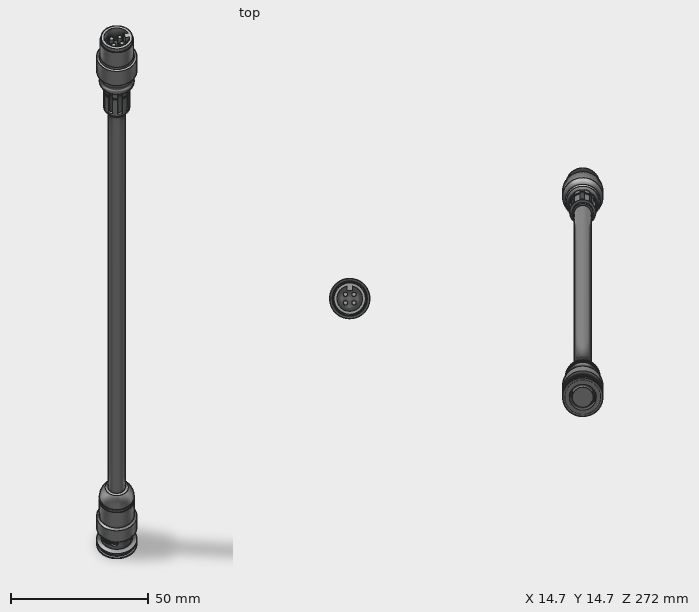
import cadquery as cq
import math

TOTAL_LENGTH = 272.0
RING_DIAMETER = 14.7
BODY_DIAMETER = 12.8
CABLE_DIAMETER = 6.3

FLANGE_HEIGHT = 3.3
FLANGE_BASE_THICKNESS = 0.4
FLANGE_RIM_BOTTOM = 2.05
FLANGE_RIM_TOP = 2.7
FLANGE_WAIST_DIAMETER = 13.0
SHELL_DIAMETER = 11.5
SHELL_BORE_DIAMETER = 9.8
SHELL_CORE_DIAMETER = 7.5
SHELL_BORE_DEPTH = 8.7

SLOT_COUNT = 2
SLOT_WIDTH = 1.98
LATCH_HOLE_DIAMETER = 3.3
SLOT_START_ANGLE = -125.0
SLOT_SWEEP_ANGLE = 99.0
SLOT_START_HEIGHT = 5.0
LATCH_HEIGHT = 6.5
SLOT_STEPS = 18

LOWER_RING_BOTTOM = 9.0
LOWER_RING_TOP = 15.5
LOWER_RING_BEVEL = 0.5
SEAM_BOTTOM = 23.7
SEAM_TOP = 25.0
SEAM_DEPTH = 0.3
BOOT_BOTTOM = 25.3
BOOT_TOP = 30.5
BOOT_TOP_DIAMETER = 8.5

INDEX_HEIGHT = 2.2
INDEX_ANGLE = -117.0
INDEX_HALF_ANGLE = 29.0

SLEEVE_BOTTOM = 233.0
SLEEVE_NECK_TOP = 234.7
SLEEVE_TOP = 247.5
SLEEVE_NECK_DIAMETER = 7.5
SLEEVE_DIAMETER = 9.5
FLUTE_COUNT = 8
FLUTE_WIDTH = 1.5
FLUTE_DEPTH = 0.8
FLUTE_BOTTOM = 235.7
SLEEVE_BAND_HEIGHT = 243.4
SLEEVE_BAND_WIDTH = 0.5
SLEEVE_BAND_DEPTH = 0.3

BEAD_BOTTOM = 247.7
BEAD_TOP = 249.5
BEAD_DEPTH = 0.4
WAIST_HEIGHT = 250.7
WAIST_DIAMETER = 11.5
UPPER_RING_BOTTOM = 254.0
UPPER_RING_TOP = 261.5
UPPER_BODY_BOTTOM = 262.5
UPPER_BODY_TOP = 270.3
UPPER_BODY_DIAMETER = 12.2
LIP_DIAMETER = 11.5

SOCKET_DIAMETER = 9.2
SOCKET_DEPTH = 6.8
KEY_WIDTH = 2.05
KEY_INNER_DISTANCE = 3.0
PIN_COUNT = 4
PIN_DIAMETER = 1.52
PIN_LENGTH = 5.0
PIN_CIRCLE_DIAMETER = 4.4


def cylinder(diameter, bottom, top):
    return cq.Workplane("XY").workplane(offset=bottom).circle(diameter / 2).extrude(top - bottom)


def tube(outer_diameter, inner_diameter, bottom, top):
    return cylinder(outer_diameter, bottom, top).cut(cylinder(inner_diameter, bottom, top))


def turned_body():
    """Both connectors and the cable as one turned profile."""
    ring = RING_DIAMETER / 2
    body = BODY_DIAMETER / 2
    cable = CABLE_DIAMETER / 2
    shell = SHELL_DIAMETER / 2
    boot_top = BOOT_TOP_DIAMETER / 2
    neck = SLEEVE_NECK_DIAMETER / 2
    sleeve = SLEEVE_DIAMETER / 2
    lip = LIP_DIAMETER / 2
    flange_waist = FLANGE_WAIST_DIAMETER / 2
    waist = WAIST_DIAMETER / 2
    upper_body = UPPER_BODY_DIAMETER / 2
    bead_root = body - BEAD_DEPTH
    bead_middle = 0.5 * (BEAD_BOTTOM + BEAD_TOP)
    return (
        cq.Workplane("XZ")
        .lineTo(ring, 0)
        .lineTo(ring, FLANGE_BASE_THICKNESS)
        .lineTo(flange_waist, FLANGE_BASE_THICKNESS)
        .lineTo(flange_waist, FLANGE_RIM_BOTTOM)
        .lineTo(ring, FLANGE_RIM_BOTTOM)
        .lineTo(ring, FLANGE_RIM_TOP)
        .lineTo(shell, FLANGE_HEIGHT)
        .lineTo(shell, LOWER_RING_BOTTOM)
        .lineTo(ring, LOWER_RING_BOTTOM)
        .lineTo(ring, LOWER_RING_TOP - LOWER_RING_BEVEL)
        .lineTo(body, LOWER_RING_TOP)
        .lineTo(body, BOOT_BOTTOM)
        .tangentArcPoint((boot_top, BOOT_TOP), relative=False)
        .lineTo(cable, BOOT_TOP)
        .lineTo(cable, SLEEVE_BOTTOM)
        .lineTo(neck, SLEEVE_BOTTOM)
        .lineTo(neck, SLEEVE_NECK_TOP)
        .lineTo(sleeve, SLEEVE_NECK_TOP)
        .lineTo(sleeve, SLEEVE_TOP)
        .lineTo(bead_root, BEAD_BOTTOM)
        .threePointArc((body, bead_middle), (bead_root, BEAD_TOP))
        .tangentArcPoint((waist, WAIST_HEIGHT), relative=False)
        .lineTo(ring, UPPER_RING_BOTTOM)
        .lineTo(ring, UPPER_RING_TOP)
        .lineTo(body, UPPER_RING_TOP)
        .lineTo(upper_body, UPPER_BODY_BOTTOM)
        .lineTo(upper_body, UPPER_BODY_TOP)
        .lineTo(lip, UPPER_BODY_TOP)
        .lineTo(lip, TOTAL_LENGTH)
        .lineTo(0, TOTAL_LENGTH)
        .close()
        .revolve(360, (0, 0), (0, 1))
    )


def radial_drill(diameter, angle, height):
    """Round cutter from the core outward, pointing away from the axis."""
    inner = SHELL_CORE_DIAMETER / 2
    length = RING_DIAMETER / 2 - inner
    outward = cq.Vector(math.cos(math.radians(angle)), math.sin(math.radians(angle)), 0)
    start = outward * inner + cq.Vector(0, 0, height)
    return cq.Workplane(cq.Solid.makeCylinder(diameter / 2, length, start, outward))


def bayonet_slot(turn):
    start_angle = SLOT_START_ANGLE + turn
    cutter = radial_drill(LATCH_HOLE_DIAMETER, start_angle + SLOT_SWEEP_ANGLE, LATCH_HEIGHT)
    for step in range(SLOT_STEPS):
        progress = step / SLOT_STEPS
        angle = start_angle + progress * SLOT_SWEEP_ANGLE
        height = SLOT_START_HEIGHT + progress * (LATCH_HEIGHT - SLOT_START_HEIGHT)
        cutter = cutter.union(radial_drill(SLOT_WIDTH, angle, height))
    entry = (
        cq.Workplane("XY")
        .workplane(offset=FLANGE_HEIGHT)
        .transformed(rotate=(0, 0, start_angle))
        .center(SHELL_DIAMETER / 2, 0)
        .rect(SHELL_DIAMETER / 2, SLOT_WIDTH)
        .extrude(SLOT_START_HEIGHT - FLANGE_HEIGHT)
    )
    return cutter.union(entry)


def bayonet_slots():
    slots = bayonet_slot(0)
    for index in range(1, SLOT_COUNT):
        slots = slots.union(bayonet_slot(index * 360 / SLOT_COUNT))
    shell_wall = tube(RING_DIAMETER, SHELL_CORE_DIAMETER, FLANGE_HEIGHT, LOWER_RING_BOTTOM)
    return slots.intersect(shell_wall)


def index_flat():
    flat_distance = BODY_DIAMETER / 2 * math.cos(math.radians(INDEX_HALF_ANGLE))
    return (
        cq.Workplane("XY")
        .workplane(offset=LOWER_RING_TOP)
        .transformed(rotate=(0, 0, INDEX_ANGLE))
        .center(flat_distance + BODY_DIAMETER / 2, 0)
        .rect(BODY_DIAMETER, BODY_DIAMETER)
        .extrude(INDEX_HEIGHT)
    )


def sleeve_flutes():
    return (
        cq.Workplane("XY")
        .workplane(offset=FLUTE_BOTTOM)
        .polarArray(SLEEVE_DIAMETER / 2, 0, 360, FLUTE_COUNT)
        .rect(2 * FLUTE_DEPTH, FLUTE_WIDTH)
        .extrude(SLEEVE_TOP - FLUTE_BOTTOM)
    )


def surface_groove(diameter, depth, bottom, top):
    """Ring-shaped cutter for a groove of the given depth around a barrel."""
    return tube(diameter + depth, diameter - 2 * depth, bottom, top)


def socket_key():
    """Key on the +Y side, rooted at mid-thickness in the socket wall."""
    root_distance = (SOCKET_DIAMETER + LIP_DIAMETER) / 4
    depth = root_distance - KEY_INNER_DISTANCE
    return (
        cq.Workplane("XY")
        .workplane(offset=TOTAL_LENGTH - SOCKET_DEPTH)
        .center(0, KEY_INNER_DISTANCE + depth / 2)
        .rect(KEY_WIDTH, depth)
        .extrude(SOCKET_DEPTH)
    )


def contact_pins():
    first_angle = 180 / PIN_COUNT
    return (
        cq.Workplane("XY")
        .workplane(offset=TOTAL_LENGTH - SOCKET_DEPTH)
        .polarArray(PIN_CIRCLE_DIAMETER / 2, first_angle, 360, PIN_COUNT)
        .circle(PIN_DIAMETER / 2)
        .extrude(PIN_LENGTH)
    )


assembly = turned_body()
assembly = assembly.cut(tube(SHELL_BORE_DIAMETER, SHELL_CORE_DIAMETER, 0, SHELL_BORE_DEPTH))
assembly = assembly.cut(bayonet_slots())
assembly = assembly.cut(index_flat())
assembly = assembly.cut(surface_groove(BODY_DIAMETER, SEAM_DEPTH, SEAM_BOTTOM, SEAM_TOP))

assembly = assembly.cut(sleeve_flutes())
band_top = SLEEVE_BAND_HEIGHT + SLEEVE_BAND_WIDTH
assembly = assembly.cut(surface_groove(SLEEVE_DIAMETER, SLEEVE_BAND_DEPTH, SLEEVE_BAND_HEIGHT, band_top))

assembly = assembly.cut(cylinder(SOCKET_DIAMETER, TOTAL_LENGTH - SOCKET_DEPTH, TOTAL_LENGTH))
assembly = assembly.union(socket_key())
assembly = assembly.union(contact_pins())

result = assembly